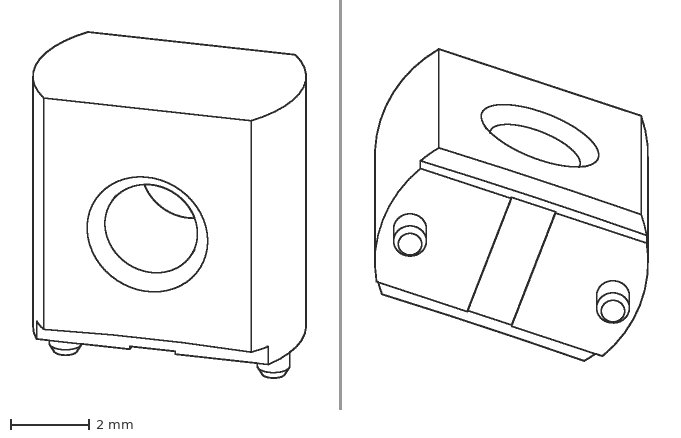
import cadquery as cq

total_height = 8.0
body_diameter = 7.0
body_width = 4.33
pin_length = 1.0
body_height = total_height - pin_length

hole_diameter = 2.46
countersink_diameter = 3.2
countersink_depth = (countersink_diameter - hole_diameter) / 2

foot_width = 3.34
step_end_height = 0.5
step_middle_height = 0.58

notch_width = 1.2
notch_height = 0.08

pin_diameter = 0.84
pin_offset = 2.76
pin_tip_diameter = 0.6
pin_tip_height = 0.21

cut_overrun = 0.08


def make_body():
    """Upright cylinder with two parallel flats facing -Y and +Y."""
    cylinder = cq.Workplane("XY", origin=(0, 0, pin_length)).circle(body_diameter / 2).extrude(body_height)
    flats = cq.Workplane("XY").box(body_diameter, body_width, total_height, centered=(True, True, False))
    return cylinder.intersect(flats)


def make_cross_hole():
    """Through hole along Y, countersunk at 45 degrees on both flats."""
    half_width = body_width / 2
    hole_radius = hole_diameter / 2
    countersink_radius = countersink_diameter / 2
    straight_end = half_width - countersink_depth
    hole_z = pin_length + body_height / 2
    return (
        cq.Workplane("XY", origin=(0, 0, hole_z))
        .moveTo(0, -half_width)
        .lineTo(countersink_radius, -half_width)
        .lineTo(hole_radius, -straight_end)
        .lineTo(hole_radius, straight_end)
        .lineTo(countersink_radius, half_width)
        .lineTo(0, half_width)
        .close()
        .revolve(360, (0, 0, 0), (0, 1, 0))
    )


def make_step(side):
    """Cutter for the foot step on one flat, with a slightly arched ceiling."""
    depth = (body_width - foot_width) / 2 + cut_overrun
    half_length = (body_diameter**2 - foot_width**2) ** 0.5 / 2
    bottom = pin_length - cut_overrun
    return (
        cq.Workplane("XZ", origin=(0, side * foot_width / 2, 0))
        .moveTo(-half_length, bottom)
        .lineTo(-half_length, pin_length + step_end_height)
        .threePointArc((0, pin_length + step_middle_height), (half_length, pin_length + step_end_height))
        .lineTo(half_length, bottom)
        .close()
        .extrude(-side * depth)
    )


def make_pin(side):
    """Locating pin below the body with a tapered tip."""
    radius = pin_diameter / 2
    return (
        cq.Workplane("XZ", origin=(side * pin_offset, 0, 0))
        .lineTo(pin_tip_diameter / 2, 0)
        .lineTo(radius, pin_tip_height)
        .lineTo(radius, pin_length)
        .lineTo(0, pin_length)
        .close()
        .revolve(360, (0, 0, 0), (0, 1, 0))
    )


notch = cq.Workplane("XY", origin=(0, 0, pin_length)).box(
    notch_width, body_width, 2 * notch_height
)

result = make_body().cut(make_cross_hole()).cut(notch)
for side in (-1, 1):
    result = result.cut(make_step(side)).union(make_pin(side))